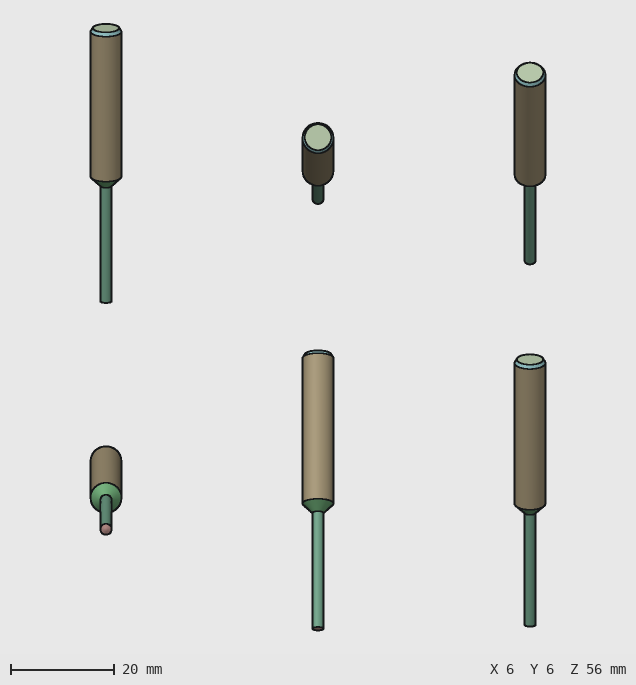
import cadquery as cq
import math

total_length = 56.0
shank_radius = 6.0 / 2
drill_radius = 2.2 / 2

shoulder_z = 25.75
shoulder_half_angle = 45.0
chamfer_height = 0.7
chamfer_width = 0.45

point_angle = 140.0

shoulder_height = (shank_radius - drill_radius) / math.tan(math.radians(shoulder_half_angle))
drill_top_z = shoulder_z - shoulder_height
point_height = drill_radius / math.tan(math.radians(point_angle / 2))


def revolve_profile(points):
    """Revolve a closed (radius, height) outline fully about the Z axis."""
    return cq.Workplane("XZ").polyline(points).close().revolve(360, (0, 0), (0, 1))


def make_shank():
    """Cylindrical shank with a chamfered top and a conical shoulder below."""
    return revolve_profile([
        (0, drill_top_z),
        (drill_radius, drill_top_z),
        (shank_radius, shoulder_z),
        (shank_radius, total_length - chamfer_height),
        (shank_radius - chamfer_width, total_length),
        (0, total_length),
    ])


def make_drill():
    """Slender round drill with a conical point, butting against the shoulder."""
    return revolve_profile([
        (0, 0),
        (drill_radius, point_height),
        (drill_radius, drill_top_z),
        (0, drill_top_z),
    ])


shank = make_shank()
drill = make_drill()

result = cq.Compound.makeCompound([shank.val(), drill.val()])